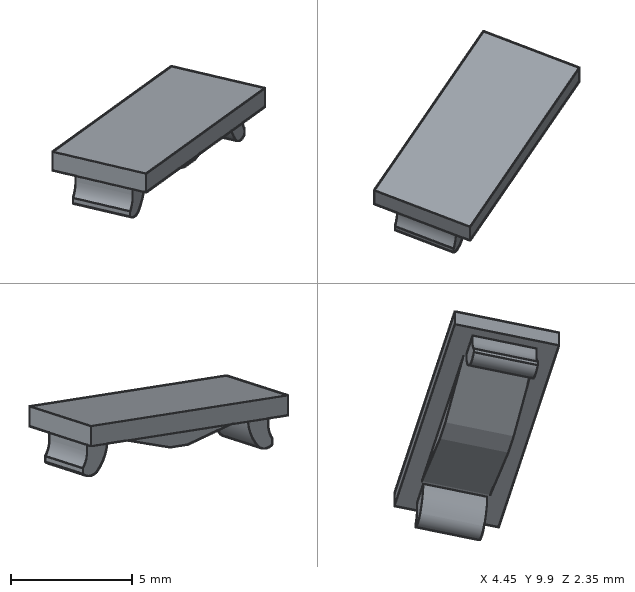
import cadquery as cq
import math

plate_width = 4.45
plate_length = 9.9
plate_thickness = 0.85
overall_height = 2.35

rib_width = 2.91
rib_depth = 0.79
rib_flat_half = 0.45
rib_slope_angle = 15

leg_width = 2.72
leg_depth = overall_height - plate_thickness
leg_inner_y = 3.51
leg_outer_y = 4.55
neck_depth = 0.48
hook_overhang = 0.21
hook_top_depth = 1.12
hook_bottom_depth = 1.36
toe_lowest_y = 4.38
toe_inner_y = 4.03
toe_inner_depth = 1.34


def extrude_across(profile, width):
    """Extrude a YZ profile symmetrically about X = 0."""
    return profile.extrude(width / 2, both=True)


def make_plate():
    return cq.Workplane("XY").box(
        plate_width, plate_length, plate_thickness, centered=(True, True, False)
    )


def make_rib():
    rib_top_half = rib_flat_half + rib_depth / math.tan(math.radians(rib_slope_angle))
    profile = (
        cq.Workplane("YZ")
        .moveTo(-rib_top_half, 0)
        .lineTo(-rib_flat_half, -rib_depth)
        .lineTo(rib_flat_half, -rib_depth)
        .lineTo(rib_top_half, 0)
        .close()
    )
    return extrude_across(profile, rib_width)


def make_leg():
    """Curved snap leg on the +Y end, hooked outward at its toe."""
    hook_y = leg_outer_y + hook_overhang
    profile = (
        cq.Workplane("YZ")
        .moveTo(leg_inner_y, 0)
        .lineTo(leg_outer_y, 0)
        .lineTo(leg_outer_y, -neck_depth)
        .tangentArcPoint((hook_y, -hook_top_depth), relative=False)
        .lineTo(hook_y, -hook_bottom_depth)
        .threePointArc((toe_lowest_y, -leg_depth), (toe_inner_y, -toe_inner_depth))
    )
    inner_run = toe_inner_y - leg_inner_y
    inner_radius = (inner_run**2 + toe_inner_depth**2) / (2 * inner_run)
    half_sweep = math.asin(toe_inner_depth / inner_radius) / 2
    inner_middle = (
        leg_inner_y + inner_radius * (1 - math.cos(half_sweep)),
        -inner_radius * math.sin(half_sweep),
    )
    profile = profile.threePointArc(inner_middle, (leg_inner_y, 0)).close()
    return extrude_across(profile, leg_width)


leg = make_leg()
result = make_plate().union(make_rib()).union(leg).union(leg.mirror("XZ"))